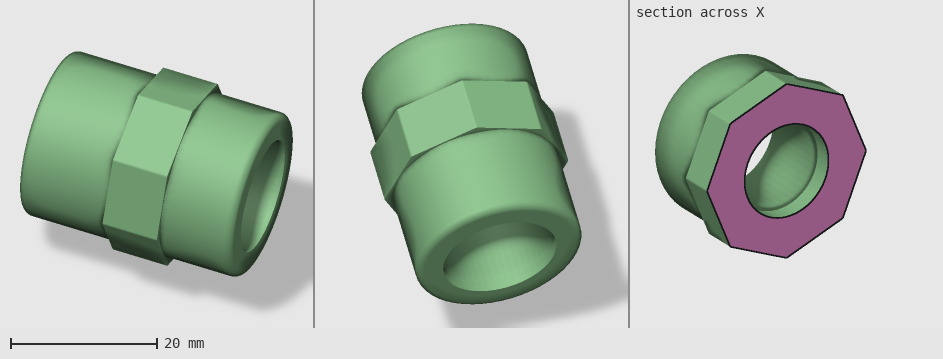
import cadquery as cq
import math

length = 31.4
body_diameter = 23.5
end_rounding = 1.0

collar_start = 13.0
collar_width = 8.0
across_flats = 24.02
corner_radius = 0.5
collar_sides = 8

passage_diameter = 13.6
socket_diameter = 16.0
socket_depth = collar_start


def cylinder_along_x(start, cylinder_length, diameter):
    """Solid cylinder on the X axis, beginning at X = start."""
    return cq.Workplane("YZ", origin=(start, 0, 0)).circle(diameter / 2).extrude(cylinder_length)


def make_body():
    """Round sleeve with rounded outer rims."""
    return cylinder_along_x(0, length, body_diameter).edges().fillet(end_rounding)


def make_collar():
    """Octagon with rounded corners pointing along Y and Z."""
    across_corners = across_flats / math.cos(math.pi / collar_sides)
    return (
        cq.Workplane("YZ", origin=(collar_start, 0, 0))
        .polygon(collar_sides, across_corners)
        .extrude(collar_width)
        .edges("|X")
        .fillet(corner_radius)
    )


result = make_body().union(make_collar())
result = result.cut(cylinder_along_x(0, length, passage_diameter))
for socket_start in (0, length - socket_depth):
    result = result.cut(cylinder_along_x(socket_start, socket_depth, socket_diameter))